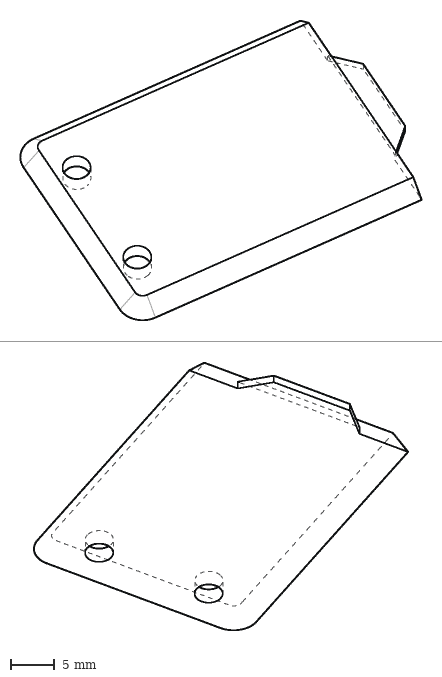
import cadquery as cq

plate_width = 28.8
plate_length = 37.6
thickness = 2.0
corner_radius = 3.0
bevel_angle = 45.0

tab_length = 3.0
tab_tip_width = 10.0
tab_root_width = tab_tip_width + 2 * tab_length
tab_thickness = thickness / 2

hole_diameter = 3.2
hole_spacing = 14.4
hole_front_offset = 4.6

front_y = -plate_length / 2
rear_y = plate_length / 2
blank_length = plate_length + 2 * corner_radius


def make_plate():
    """Plate with rounded front corners, bevelled on the front and both sides."""
    footprint = cq.Sketch().rect(plate_width, blank_length).vertices().fillet(corner_radius)
    blank = (
        cq.Workplane("XY")
        .center(0, front_y + blank_length / 2)
        .placeSketch(footprint)
        .extrude(thickness, taper=bevel_angle)
    )
    keep = cq.Workplane("XY").box(plate_width, plate_length, thickness, centered=(True, True, False))
    return blank.intersect(keep)


def make_tab():
    """Trapezoidal tab that narrows away from the rear edge."""
    outline = [
        (-tab_root_width / 2, rear_y),
        (tab_root_width / 2, rear_y),
        (tab_tip_width / 2, rear_y + tab_length),
        (-tab_tip_width / 2, rear_y + tab_length),
    ]
    return cq.Workplane("XY").polyline(outline).close().extrude(tab_thickness)


def make_holes():
    """Through-hole cutters, one on each side of the centre line."""
    hole_y = front_y + hole_front_offset
    centers = [(side * hole_spacing / 2, hole_y) for side in (-1, 1)]
    return cq.Workplane("XY").pushPoints(centers).circle(hole_diameter / 2).extrude(thickness)


result = make_plate().union(make_tab()).cut(make_holes())